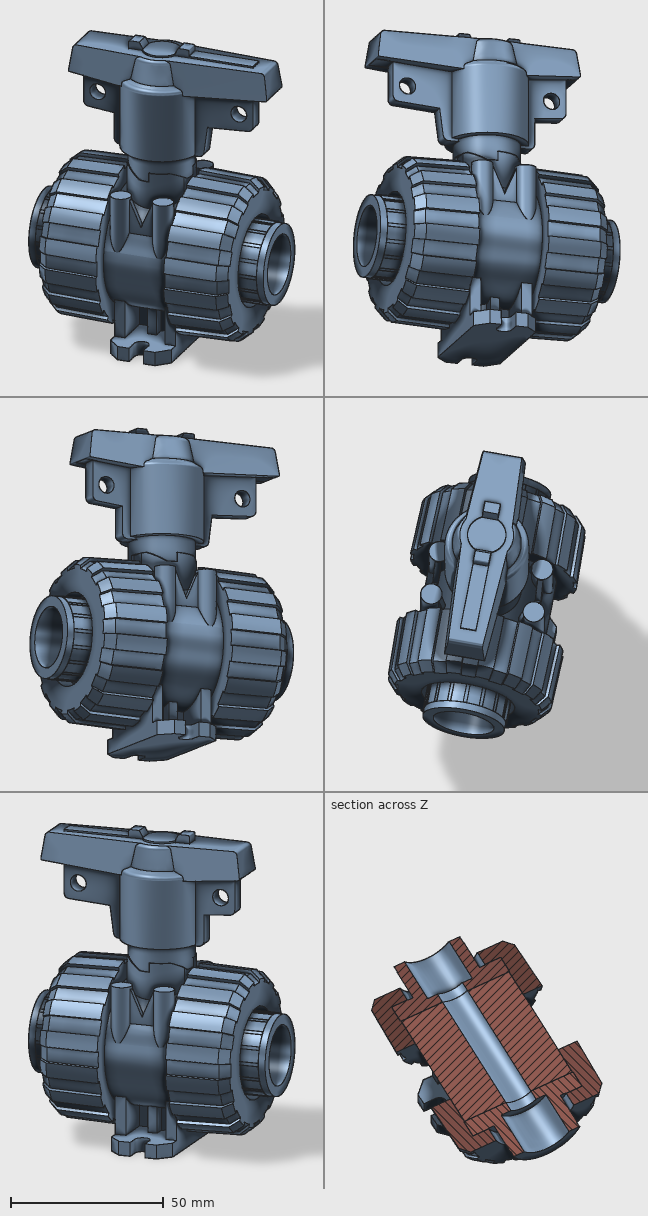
import cadquery as cq
import math


overall_length = 83.0
bore_radius = 7.45
body_radius = 21.0
body_half_length = 22.0

nut_inner_x = 12.0
nut_outer_x = 33.35
nut_chamfer_x = 30.2
nut_wall_x = 28.0
nut_hole_radius = 15.5
grip_count = 16
grip_angle = 180 / grip_count
grip_start_radius = 27.75
groove_start_radius = 26.6
nut_draft = 0.5
nut_chamfer_drop = 2.7

socket_radius = 10.1
socket_depth = 16.0
collar_radius = 13.6
collar_length = 2.4
spigot_radius = 13.72
spigot_rib_radius = 13.9
spigot_rib_width = 1.15
spigot_rib_count = 16

foot_bottom = -33.0
foot_thickness = 4.75
foot_length_x = 21.5
foot_width_y = 44.0
foot_chamfer = 4.15
foot_slot_width = 5.1
foot_slot_depth = 7.0
leg_thickness = 3.7
leg_width_y = 28.8
foot_post_radius = 4.7
foot_cross_wall_length = 14.2
foot_cross_wall_thickness = 4.0
foot_rib_length = 16.6
foot_rib_thickness = 3.1

boss_radius = 3.5
boss_x = 7.48
boss_y = 17.05
boss_top = 23.4
web_thickness = 1.85
web_notch_bottom = 13.5
web_notch_half_width = 4.45
gusset_length = 2.4
gusset_bottom = 13.0
gusset_angle = 69.0

neck_radius = 11.4
neck_half_flat = 10.1
tooth_bottom = 27.0
tooth_top = 30.1
tooth_ramp_start = 3.5
tooth_ramp_end = 9.0

handle_collar_radius = 11.05
hub_bottom = 35.6
hub_radius = 13.75
hub_shoulder_bottom = 58.7
hub_shoulder_radius = 12.4
hub_shoulder_top = 60.5
hub_round_radius = 2.0
hub_cone_bottom = 61.3
hub_cone_bottom_radius = 11.3
hub_cone_top_radius = 9.9
hub_cone_top = 68.0
hub_top_radius = 8.8
core_top = 47.0
handle_top = 69.4
grip_middle_z = 58.2
grip_end_z = 60.0
grip_middle_half_length = 11.5
grip_left_x = -30.1
grip_right_x = 39.95
grip_end_lean = 1.4
grip_lower_half_widths = (7.5, 9.1, 6.9)
grip_upper_half_widths = (6.3, 7.9, 5.6)
grip_corner_radius = 1.5
grip_lower_corner_radius = 0.5
blade_slot_width = 7.1
blade_slot_top = 60.0

blade_thickness = 5.16
blade_left_x = -26.6
blade_right_x = 33.3
blade_bottom = 34.9
blade_wing_corner_z = 46.7
blade_wing_root_z = 45.7
blade_corner_radius = 1.9
tail_half_length = 15.75
tail_right_top_x = 17.2
tie_hole_radius = 2.75
tie_hole_z = 52.2
tie_hole_left_x = -21.6
tie_hole_right_x = 28.3
insert_face_z = 69.95
tab_outer_x = 10.7
tab_inner_x = 6.9
tab_foot_x = 5.6
tab_top = 72.17
tab_corner_radius = 0.7
disc_radius = 6.3
disc_depth = 2.0

big = 200.0
pick_margin = 0.1


def x_cylinder(radius, x_start, x_end):
    return cq.Workplane("YZ").workplane(offset=x_start).circle(radius).extrude(x_end - x_start)


def z_cylinder(radius, z_start, z_end):
    return cq.Workplane("XY").workplane(offset=z_start).circle(radius).extrude(z_end - z_start)


def box(size_x, size_y, z_start, z_end):
    return cq.Workplane("XY").workplane(offset=z_start).rect(size_x, size_y).extrude(z_end - z_start)


def xz_plate(outline, thickness):
    """A plate with an outline in X and Z, centred on Y = 0."""
    return cq.Workplane("XZ").polyline(outline).close().extrude(thickness / 2, both=True)


def about_x(outline, angle=360):
    """Turn an (x, radius) outline about the pipe axis."""
    return cq.Workplane("XY").polyline(outline).close().revolve(angle, (0, 0, 0), (1, 0, 0))


def neck_teeth():
    """Four ramped blocks, one per quadrant, that split the neck from the handle."""
    block = (
        cq.Workplane("XZ")
        .polyline([
            (-tooth_ramp_start, tooth_bottom),
            (-tooth_ramp_end, tooth_top),
            (-2 * neck_radius, tooth_top),
            (-2 * neck_radius, tooth_bottom),
        ])
        .close()
        .extrude(2 * neck_radius)
    )
    teeth = block
    for turn in (90, 180, 270):
        teeth = teeth.union(block.rotate((0, 0, 0), (0, 0, 1), turn))
    return teeth


def foot():
    plate_top = foot_bottom + foot_thickness
    plate = box(foot_length_x, foot_width_y, foot_bottom, plate_top).edges("|Z").chamfer(foot_chamfer)
    for side in (-1, 1):
        slot_centre = side * (foot_width_y / 2 - foot_slot_depth + foot_slot_width / 2)
        slot_end = z_cylinder(foot_slot_width / 2, foot_bottom, plate_top).translate((0, slot_centre, 0))
        mouth_length = 2 * foot_slot_depth - foot_slot_width
        mouth = box(foot_slot_width, mouth_length, foot_bottom, plate_top)
        plate = plate.cut(slot_end).cut(mouth.translate((0, side * foot_width_y / 2, 0)))
    leg_centre = (foot_length_x - leg_thickness) / 2
    for side in (-1, 1):
        leg = box(leg_thickness, leg_width_y, foot_bottom, 0)
        plate = plate.union(leg.translate((side * leg_centre, 0, 0)))
    plate = plate.union(z_cylinder(foot_post_radius, foot_bottom, 0))
    plate = plate.union(box(foot_cross_wall_length, foot_cross_wall_thickness, foot_bottom, 0))
    return plate.union(box(foot_rib_thickness, foot_rib_length, foot_bottom, 0))


def notched_web():
    """The wall between two bosses, with a V notch in its top edge."""
    outline = [
        (-boss_x, 0),
        (-boss_x, boss_top),
        (-web_notch_half_width, boss_top),
        (0, web_notch_bottom),
        (web_notch_half_width, boss_top),
        (boss_x, boss_top),
        (boss_x, 0),
    ]
    return xz_plate(outline, web_thickness)


def boss_gusset():
    """A sloped rib that starts at the boss axis and runs along +X."""
    outline = [
        (0, 0),
        (0, boss_top),
        (boss_radius, boss_top),
        (boss_radius + gusset_length, gusset_bottom),
        (boss_radius + gusset_length, 0),
    ]
    return xz_plate(outline, web_thickness)


def make_body():
    body = x_cylinder(body_radius, -body_half_length, body_half_length).union(foot())

    neck_section = z_cylinder(neck_radius, 0, tooth_top).intersect(box(2 * neck_half_flat, big, 0, tooth_top))
    neck = neck_section.intersect(box(big, big, 0, tooth_bottom)).union(neck_teeth().intersect(neck_section))
    body = body.union(neck)

    for side_y in (-1, 1):
        body = body.union(notched_web().translate((0, side_y * boss_y, 0)))
        for side_x in (-1, 1):
            spot = (side_x * boss_x, side_y * boss_y, 0)
            body = body.union(z_cylinder(boss_radius, 0, boss_top).translate(spot))
            direction = math.degrees(math.atan2(
                -side_y * math.sin(math.radians(gusset_angle)),
                side_x * math.cos(math.radians(gusset_angle)),
            ))
            gusset = boss_gusset().rotate((0, 0, 0), (0, 0, 1), direction).translate(spot)
            body = body.union(gusset)
    return body.cut(x_cylinder(bore_radius, -big, big))


def make_nut(side):
    def ring_outline(start_radius):
        chamfer_radius = start_radius - nut_draft
        return [
            (side * nut_inner_x, nut_hole_radius),
            (side * nut_inner_x, start_radius),
            (side * nut_chamfer_x, chamfer_radius),
            (side * nut_outer_x, chamfer_radius - nut_chamfer_drop),
            (side * nut_outer_x, nut_hole_radius),
        ]

    nut = about_x(ring_outline(groove_start_radius))
    grip = about_x(ring_outline(grip_start_radius), grip_angle)
    for index in range(grip_count):
        turn = (2 * index + 0.5) * grip_angle
        nut = nut.union(grip.rotate((0, 0, 0), (1, 0, 0), turn))
    return nut.cut(x_cylinder(body_radius, side * nut_inner_x, side * nut_wall_x))


def make_connector(side):
    end_x = overall_length / 2
    collar_x = end_x - collar_length
    connector = x_cylinder(body_radius, side * body_half_length, side * nut_wall_x)
    connector = connector.union(x_cylinder(collar_radius, side * body_half_length, side * end_x))
    connector = connector.union(x_cylinder(spigot_radius, side * body_half_length, side * collar_x))
    rib = (
        cq.Workplane("YZ")
        .workplane(offset=side * body_half_length)
        .center(spigot_rib_radius / 2, 0)
        .rect(spigot_rib_radius, spigot_rib_width)
        .extrude(side * (collar_x - body_half_length))
    )
    for index in range(spigot_rib_count):
        connector = connector.union(rib.rotate((0, 0, 0), (1, 0, 0), index * 360 / spigot_rib_count))
    connector = connector.cut(x_cylinder(bore_radius, -big, big))
    return connector.cut(x_cylinder(socket_radius, side * (end_x - socket_depth), side * end_x))


def make_insert():
    outline = [
        (blade_left_x, blade_slot_top),
        (blade_left_x, blade_wing_corner_z),
        (-tail_half_length, blade_wing_root_z),
        (-tail_half_length, blade_bottom),
        (tail_half_length, blade_bottom),
        (tail_right_top_x, blade_wing_root_z),
        (blade_right_x, blade_wing_corner_z),
        (blade_right_x, insert_face_z),
        (tab_outer_x, insert_face_z),
        (tab_outer_x, tab_top),
        (tab_inner_x, tab_top),
        (tab_foot_x, insert_face_z),
        (-tab_foot_x, insert_face_z),
        (-tab_inner_x, tab_top),
        (-tab_outer_x, tab_top),
        (-tab_outer_x, blade_slot_top),
    ]
    blade = xz_plate(outline, blade_thickness)
    lower_corners = cq.selectors.BoxSelector((-big, -big, 0), (big, big, blade_wing_corner_z + pick_margin))
    inner_corners = cq.selectors.BoxSelector(
        (-tail_right_top_x - pick_margin, -big, blade_wing_root_z - pick_margin),
        (tail_right_top_x + pick_margin, big, blade_wing_root_z + pick_margin),
    )
    blade = blade.edges("|Y").edges(lower_corners - inner_corners).fillet(blade_corner_radius)
    tab_corner_z = tab_top - pick_margin
    tab_corner_x = tab_inner_x + pick_margin
    left_tab_corner = cq.selectors.BoxSelector((-big, -big, tab_corner_z), (-tab_corner_x, big, big))
    right_tab_corner = cq.selectors.BoxSelector((tab_corner_x, -big, tab_corner_z), (big, big, big))
    tab_corners = left_tab_corner + right_tab_corner
    blade = blade.edges("|Y").edges(tab_corners).fillet(tab_corner_radius)
    tie_holes = (
        cq.Workplane("XZ")
        .pushPoints([(tie_hole_left_x, tie_hole_z), (tie_hole_right_x, tie_hole_z)])
        .circle(tie_hole_radius)
        .extrude(blade_thickness, both=True)
    )
    disc = z_cylinder(disc_radius, insert_face_z - disc_depth, insert_face_z)
    return blade.cut(tie_holes).union(disc)


def grip_section(plane_z, left_half_width, middle_half_width, right_half_width):
    """A six-sided wire, widest over the stem axis."""
    points = [
        (grip_left_x, left_half_width),
        (0, middle_half_width),
        (grip_right_x, right_half_width),
        (grip_right_x, -right_half_width),
        (0, -middle_half_width),
        (grip_left_x, -left_half_width),
    ]
    return cq.Wire.makePolygon([cq.Vector(x, y, plane_z) for x, y in points], close=True)


def handle_grip():
    lower = grip_section(grip_middle_z, *grip_lower_half_widths)
    upper = grip_section(handle_top, *grip_upper_half_widths)
    bar = cq.Workplane("XY").newObject([cq.Solid.makeLoft([lower, upper], True)])
    side_outline = [
        (grip_left_x, grip_end_z),
        (-grip_middle_half_length, grip_middle_z),
        (grip_middle_half_length, grip_middle_z),
        (grip_right_x, grip_end_z),
        (grip_right_x - grip_end_lean, handle_top),
        (grip_left_x + grip_end_lean, handle_top),
    ]
    envelope = xz_plate(side_outline, big).edges("|Y and >Z").fillet(grip_corner_radius)
    envelope = envelope.edges("|Y and (<X or >X)").fillet(grip_lower_corner_radius)
    return bar.intersect(envelope)


def handle_hub():
    return (
        cq.Workplane("XZ")
        .moveTo(0, hub_bottom)
        .lineTo(hub_radius, hub_bottom)
        .lineTo(hub_radius, hub_shoulder_bottom)
        .radiusArc((hub_shoulder_radius, hub_shoulder_top), -hub_round_radius)
        .lineTo(hub_cone_bottom_radius, hub_cone_bottom)
        .lineTo(hub_cone_top_radius, hub_cone_top)
        .radiusArc((hub_top_radius, handle_top), -hub_round_radius)
        .lineTo(0, handle_top)
        .close()
        .revolve(360, (0, 0, 0), (0, 1, 0))
    )


def make_handle(insert):
    handle = handle_hub().union(handle_grip())
    handle = handle.cut(box(big, blade_slot_width, hub_bottom, blade_slot_top))
    handle = handle.union(z_cylinder(handle_collar_radius, tooth_bottom, core_top))
    return handle.cut(neck_teeth()).cut(insert)


body = make_body()
nuts = [make_nut(side) for side in (-1, 1)]
connectors = [make_connector(side) for side in (-1, 1)]
insert = make_insert()
handle = make_handle(insert)

result = cq.Compound.makeCompound([
    body.val(),
    *[nut.val() for nut in nuts],
    *[connector.val() for connector in connectors],
    insert.val(),
    handle.val(),
])